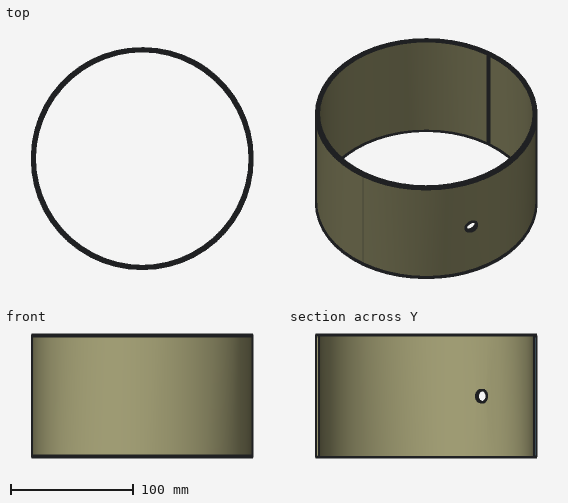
import cadquery as cq
import math

outer_diameter = 180.0
height = 100.0
wall = 2.5

bevel_depth = 0.5
bevel_height = 1.6

inner_chamfer = 0.5

slit_width = 1.5
slit_edge_y = 0.0

hole_diameter = 10.0
hole_angle = 59.0

outer_radius = outer_diameter / 2
inner_radius = outer_radius - wall
half_height = height / 2


def ring():
    """Thin ring, centred on the origin, with bevelled rim edges."""
    rim_radius = outer_radius - bevel_depth
    mouth_radius = inner_radius + inner_chamfer
    bevel_z = half_height - bevel_height
    chamfer_z = half_height - inner_chamfer
    profile = [
        (mouth_radius, -half_height),
        (rim_radius, -half_height),
        (outer_radius, -bevel_z),
        (outer_radius, bevel_z),
        (rim_radius, half_height),
        (mouth_radius, half_height),
        (inner_radius, chamfer_z),
        (inner_radius, -chamfer_z),
    ]
    return cq.Workplane("XZ").polyline(profile).close().revolve(360, (0, 0, 0), (0, 1, 0))


def slit_cutter():
    """Full-height box reaching from inside the ring out past its -X side."""
    slit_length = 4 * wall
    return cq.Workplane("XY").box(slit_length, slit_width, height).translate(
        (-outer_radius, slit_edge_y + slit_width / 2, 0)
    )


def hole_cutter():
    """Radial cylinder that crosses the wall once."""
    angle = math.radians(hole_angle)
    direction = cq.Vector(math.cos(angle), math.sin(angle), 0)
    return cq.Workplane(
        cq.Solid.makeCylinder(hole_diameter / 2, outer_diameter, cq.Vector(0, 0, 0), direction)
    )


result = ring().cut(slit_cutter()).cut(hole_cutter())